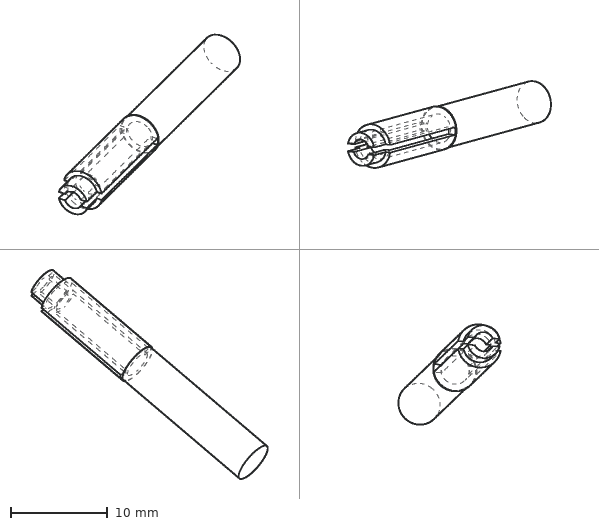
import cadquery as cq

total_length = 30.0
tip_length = 2.0
collar_end = 13.5
slot_length = 13.23
mouth_length = 3.0
chamber_end = collar_end
front_y = -total_length / 2

collar_diameter = 4.6
shank_diameter = 4.4
tip_diameter = 3.48
mouth_diameter = 2.05
chamber_diameter = 3.0

slot_height = 0.8


def cylinder(diameter, start, end):
    """Cylinder on the Y axis between two distances from the front end."""
    plane = cq.Workplane("XZ", origin=(0, front_y + start, 0))
    return plane.circle(diameter / 2).extrude(start - end)


body = cylinder(tip_diameter, 0, tip_length)
body = body.union(cylinder(collar_diameter, tip_length, collar_end))
body = body.union(cylinder(shank_diameter, collar_end, total_length))

mouth = cylinder(mouth_diameter, 0, mouth_length)
chamber = cylinder(chamber_diameter, mouth_length, chamber_end)

slot = (
    cq.Workplane("XY", origin=(0, front_y, 0))
    .box(collar_diameter, slot_length, slot_height, centered=(True, False, True))
)

result = body.cut(mouth).cut(chamber).cut(slot)